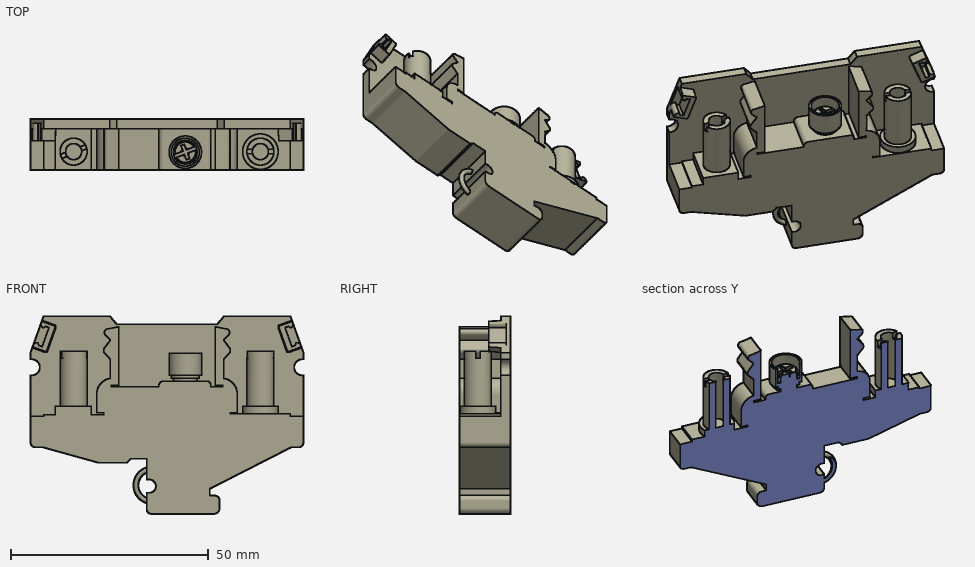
import cadquery as cq
import math

LENGTH = 69.0
DEPTH = 13.0
HEIGHT = 50.0
HALF_LENGTH = LENGTH / 2

WALL_THICKNESS = 2.5
WALL_FRONT = DEPTH - WALL_THICKNESS
WALL_DIP_Z = 47.95
DIP_FLOOR_HALF = 12.7
DIP_RIM_HALF = 14.4
SHOULDER_X = 31.2
SHOULDER_Z = 40.8
SLANT_ANGLE = math.degrees(math.atan2(HALF_LENGTH - SHOULDER_X, HEIGHT - SHOULDER_Z))
EDGE_NOTCH_DIAMETER = 4.0
EDGE_NOTCH_X = 34.15
EDGE_NOTCH_Z = 37.05

SHELF_Z = 16.85
SHELF_INNER_X = 31.4
SHELF_RADIUS = 1.25
BELLY_Z = 12.9
BELLY_LEFT_X = -17.25
BELLY_RIGHT_X = -10.15
RAIL_SEAT_Z = 13.95
RAIL_SEAT_LEFT_X = -9.2
FOOT_LEFT_X = -5.2
FOOT_RIGHT_X = 13.3
FOOT_LEFT_RADIUS = 1.25
FOOT_RIGHT_RADIUS = 1.5
HOOK_TOP_Z = 4.7
HOOK_THROAT_X = 10.8
HOOK_THROAT_Z = 6.35
HOOK_RADIUS = 1.3
FOOT_NOTCH_DIAMETER = 3.3
FOOT_NOTCH_X = -4.5
FOOT_NOTCH_Z = 7.05

END_LEDGE_Z = 24.7
END_LEDGE_INNER_X = 31.2
LEFT_DECK_Z = 25.1
RIGHT_DECK_Z = 25.3
LEFT_PEDESTAL_Z = 27.2
LEFT_PEDESTAL_OUTER_X = -28.3
LEFT_PEDESTAL_INNER_X = -19.1
BRIDGE_HALF_WIDTH = 15.95
BRIDGE_Z = 32.15
BRIDGE_RADIUS = 1.85
PLATFORM_LEFT_X = -2.1
PLATFORM_RIGHT_X = 11.05
PLATFORM_Z = 33.6
PLATFORM_LEFT_RADIUS = 1.25
PLATFORM_RIGHT_RADIUS = 1.05

CLIP_TOP_Z = 47.3
CLIP_INNER_X = 12.2
CLIP_STRIP_X = 14.3
CLIP_LEG_OUTER_X = 17.7
CLIP_FOOT_Z = 25.5
CLIP_HEEL_Z = 32.5
CLIP_HEEL_OUTER_X = 14.15
CLIP_BEND_CENTRE_Z = 30.35
CLIP_BEND_RADIUS = 3.9
UPPER_TOOTH_START = (14.8, 46.8)
UPPER_TOOTH_TIP = (15.8, 45.95)
UPPER_TOOTH_END = (15.4, 45.05)
TOOTH_GAP_Z = 43.95
LOWER_TOOTH_START = (15.8, 41.95)
LOWER_TOOTH_TIP = (16.0, 41.3)
LOWER_TOOTH_END = (15.8, 40.7)
STRIP_TOP_Z = 39.05

LATCH_FRONT = 7.4
LATCH_CENTRE = 5.0
LATCH_HALF_HEIGHT = 3.65
LATCH_REACH = 3.9
LATCH_RADIUS = 0.55
LATCH_DRAFT = 4.0
POCKET_BACK = 11.9
POCKET_REACH = 2.3
POCKET_HALF_HEIGHT = 2.55
POCKET_MOUTH_HALF = 2.8
LIP_HALF = 2.0
LIP_TIP_REACH = 1.0
LIP_END_REACH = 1.4

POST_X = 23.6
POST_Y = 4.7
POST_DIAMETER = 6.8
POST_TOP_Z = 41.1
POST_BORE_DIAMETER = 4.1
POST_SLOT_WIDTH = 1.1
POST_SLOT_DEPTH = 1.7
LEFT_SLOT_ANGLE = 21.0
FLANGE_DIAMETER = 9.0

SCREW_X = 4.6
SCREW_Y = 4.55
COLLAR_DIAMETER = 8.2
COLLAR_BOTTOM_Z = 35.05
COLLAR_TOP_Z = 40.65
THREAD_DIAMETER = 7.1
THREAD_BOTTOM_Z = 34.3
THREAD_TOP_Z = 36.2
HEAD_DIAMETER = 6.0
HEAD_TOP_Z = 38.4
HEAD_CHAMFER = 0.4
DRIVE_ANGLE = 21.0
DRIVE_SLOT_WIDTH = 0.9
CROSS_SLOT_LENGTH = 3.85
DRIVE_DEPTH = 1.0
DRIVE_CONE_DIAMETER = 2.1

WIRE_DIAMETER = 1.3
LOOP_RADIUS = 4.15
LOOP_X = -3.7
LOOP_Y = 6.2
LOOP_Z = 7.25
LOOP_TILT = 7.0


def front_plane(y):
    return cq.Workplane("XZ", origin=(0, y, 0))


def cylinder(x, y, bottom, top, diameter):
    return cq.Workplane("XY", origin=(x, y, bottom)).circle(diameter / 2).extrude(top - bottom)


def notch(x, z, diameter):
    """Round notch along Y, open towards the outer side of the edge it is cut into."""
    radius = diameter / 2
    outward = math.copysign(diameter, x)
    bore = front_plane(DEPTH).center(x, z).circle(radius).extrude(DEPTH)
    mouth = front_plane(DEPTH).center(x + outward / 2, z).rect(diameter, diameter).extrude(DEPTH)
    return bore.union(mouth)


def back_wall():
    outline = [
        (-HALF_LENGTH, END_LEDGE_Z),
        (-HALF_LENGTH, SHOULDER_Z),
        (-SHOULDER_X, HEIGHT),
        (-DIP_RIM_HALF, HEIGHT),
        (-DIP_FLOOR_HALF, WALL_DIP_Z),
        (DIP_FLOOR_HALF, WALL_DIP_Z),
        (DIP_RIM_HALF, HEIGHT),
        (SHOULDER_X, HEIGHT),
        (HALF_LENGTH, SHOULDER_Z),
        (HALF_LENGTH, END_LEDGE_Z),
    ]
    wall = front_plane(DEPTH).polyline(outline).close().extrude(WALL_THICKNESS)
    for side in (-1, 1):
        wall = wall.cut(notch(side * EDGE_NOTCH_X, EDGE_NOTCH_Z, EDGE_NOTCH_DIAMETER))
    return wall


def round_edge(body, x, z, radius):
    """Round the edge parallel to Y that passes through (x, z)."""
    return body.edges(cq.selectors.NearestToPointSelector((x, DEPTH / 2, z))).fillet(radius)


def housing():
    outline = [
        (-HALF_LENGTH, SHELF_Z),
        (-HALF_LENGTH, END_LEDGE_Z),
        (-END_LEDGE_INNER_X, END_LEDGE_Z),
        (-END_LEDGE_INNER_X, LEFT_DECK_Z),
        (LEFT_PEDESTAL_OUTER_X, LEFT_DECK_Z),
        (LEFT_PEDESTAL_OUTER_X, LEFT_PEDESTAL_Z),
        (LEFT_PEDESTAL_INNER_X, LEFT_PEDESTAL_Z),
        (LEFT_PEDESTAL_INNER_X, LEFT_DECK_Z),
        (-BRIDGE_HALF_WIDTH, LEFT_DECK_Z),
        (-BRIDGE_HALF_WIDTH, BRIDGE_Z),
        (PLATFORM_LEFT_X, BRIDGE_Z),
        (PLATFORM_LEFT_X, PLATFORM_Z),
        (PLATFORM_RIGHT_X, PLATFORM_Z),
        (PLATFORM_RIGHT_X, BRIDGE_Z),
        (BRIDGE_HALF_WIDTH, BRIDGE_Z),
        (BRIDGE_HALF_WIDTH, RIGHT_DECK_Z),
        (END_LEDGE_INNER_X, RIGHT_DECK_Z),
        (END_LEDGE_INNER_X, END_LEDGE_Z),
        (HALF_LENGTH, END_LEDGE_Z),
        (HALF_LENGTH, SHELF_Z),
        (SHELF_INNER_X, SHELF_Z),
        (HOOK_THROAT_X, HOOK_THROAT_Z),
        (HOOK_THROAT_X, HOOK_TOP_Z),
        (FOOT_RIGHT_X, HOOK_TOP_Z),
        (FOOT_RIGHT_X, 0),
        (FOOT_LEFT_X, 0),
        (FOOT_LEFT_X, RAIL_SEAT_Z),
        (RAIL_SEAT_LEFT_X, RAIL_SEAT_Z),
        (BELLY_RIGHT_X, BELLY_Z),
        (BELLY_LEFT_X, BELLY_Z),
        (-SHELF_INNER_X, SHELF_Z),
    ]
    body = front_plane(DEPTH).polyline(outline).close().extrude(DEPTH)
    for side in (-1, 1):
        body = round_edge(body, side * HALF_LENGTH, SHELF_Z, SHELF_RADIUS)
        body = round_edge(body, side * BRIDGE_HALF_WIDTH, BRIDGE_Z, BRIDGE_RADIUS)
    body = round_edge(body, PLATFORM_LEFT_X, PLATFORM_Z, PLATFORM_LEFT_RADIUS)
    body = round_edge(body, PLATFORM_RIGHT_X, PLATFORM_Z, PLATFORM_RIGHT_RADIUS)
    body = round_edge(body, FOOT_LEFT_X, 0, FOOT_LEFT_RADIUS)
    body = round_edge(body, FOOT_RIGHT_X, 0, FOOT_RIGHT_RADIUS)
    body = round_edge(body, FOOT_RIGHT_X, HOOK_TOP_Z, HOOK_RADIUS)
    return body.cut(notch(FOOT_NOTCH_X, FOOT_NOTCH_Z, FOOT_NOTCH_DIAMETER))


def right_clip():
    """Toothed strip whose leg bends over the bridge shoulder; teeth point to +X."""
    shoulder_z = BRIDGE_Z - BRIDGE_RADIUS
    bend_middle = CLIP_BEND_RADIUS * math.sqrt(0.5)
    bend_centre_x = CLIP_LEG_OUTER_X - CLIP_BEND_RADIUS
    bend_rise = math.sqrt(CLIP_BEND_RADIUS**2 - (CLIP_STRIP_X - bend_centre_x) ** 2)
    return (
        front_plane(WALL_FRONT)
        .moveTo(CLIP_INNER_X, CLIP_TOP_Z)
        .lineTo(*UPPER_TOOTH_START)
        .threePointArc(UPPER_TOOTH_TIP, UPPER_TOOTH_END)
        .lineTo(CLIP_STRIP_X, TOOTH_GAP_Z)
        .lineTo(*LOWER_TOOTH_START)
        .threePointArc(LOWER_TOOTH_TIP, LOWER_TOOTH_END)
        .lineTo(CLIP_STRIP_X, STRIP_TOP_Z)
        .lineTo(CLIP_STRIP_X, CLIP_BEND_CENTRE_Z + bend_rise)
        .threePointArc(
            (bend_centre_x + bend_middle, CLIP_BEND_CENTRE_Z + bend_middle),
            (CLIP_LEG_OUTER_X, CLIP_BEND_CENTRE_Z),
        )
        .lineTo(CLIP_LEG_OUTER_X, CLIP_FOOT_Z)
        .lineTo(BRIDGE_HALF_WIDTH, CLIP_FOOT_Z)
        .lineTo(BRIDGE_HALF_WIDTH, shoulder_z)
        .lineTo(CLIP_HEEL_OUTER_X, shoulder_z)
        .lineTo(CLIP_HEEL_OUTER_X, CLIP_HEEL_Z)
        .lineTo(CLIP_INNER_X, CLIP_HEEL_Z)
        .close()
        .extrude(WALL_FRONT)
    )


def left_end_plane(y):
    """Plane at depth y: local x runs inward from the slanted left end, local y up along it."""
    slant = math.radians(SLANT_ANGLE)
    return cq.Workplane(
        cq.Plane(
            origin=(-HALF_LENGTH, y, SHOULDER_Z),
            xDir=(math.cos(slant), 0, -math.sin(slant)),
            normal=(0, -1, 0),
        )
    )


def left_latch_frame():
    depth = WALL_FRONT - LATCH_FRONT
    outline = cq.Sketch().rect(2 * LATCH_REACH, 2 * LATCH_HALF_HEIGHT).vertices().fillet(LATCH_RADIUS)
    centre = left_end_plane(WALL_FRONT).center(0, LATCH_CENTRE)
    block = centre.placeSketch(outline).extrude(depth, taper=LATCH_DRAFT)
    inner_half = (
        left_end_plane(WALL_FRONT)
        .center(LATCH_REACH / 2, LATCH_CENTRE)
        .rect(LATCH_REACH, 2 * LATCH_HALF_HEIGHT)
        .extrude(depth)
    )
    return block.intersect(inner_half)


def left_latch_pocket():
    """Pocket open to the left end and to the front, with a rounded lip at each side of its mouth."""
    lip_middle_x = LIP_TIP_REACH / 3
    lip_middle_y = (POCKET_MOUTH_HALF + 2 * LIP_HALF) / 3
    return (
        left_end_plane(POCKET_BACK)
        .center(0, LATCH_CENTRE)
        .moveTo(0, POCKET_MOUTH_HALF)
        .threePointArc((lip_middle_x, lip_middle_y), (LIP_TIP_REACH, LIP_HALF))
        .lineTo(LIP_END_REACH, POCKET_HALF_HEIGHT)
        .lineTo(POCKET_REACH, POCKET_HALF_HEIGHT)
        .lineTo(POCKET_REACH, -POCKET_HALF_HEIGHT)
        .lineTo(LIP_END_REACH, -POCKET_HALF_HEIGHT)
        .lineTo(LIP_TIP_REACH, -LIP_HALF)
        .threePointArc((lip_middle_x, -lip_middle_y), (0, -POCKET_MOUTH_HALF))
        .close()
        .extrude(POCKET_BACK - LATCH_FRONT)
    )


def slot(x, y, top, length, width, depth, angle):
    """Straight screwdriver slot centred on (x, y) and sunk from the given top height."""
    return (
        cq.Workplane("XY", origin=(x, y, top - depth))
        .transformed(rotate=(0, 0, angle))
        .rect(length, width)
        .extrude(depth)
    )


def post(x, bottom, slot_angle):
    body = cylinder(x, POST_Y, bottom, POST_TOP_Z, POST_DIAMETER)
    body = body.cut(cylinder(x, POST_Y, bottom, POST_TOP_Z, POST_BORE_DIAMETER))
    return body.cut(
        slot(x, POST_Y, POST_TOP_Z, 2 * POST_DIAMETER, POST_SLOT_WIDTH, POST_SLOT_DEPTH, slot_angle)
    )


def centre_screw():
    head = cylinder(SCREW_X, SCREW_Y, PLATFORM_Z, HEAD_TOP_Z, HEAD_DIAMETER)
    head = head.faces(">Z").chamfer(HEAD_CHAMFER)
    for length, angle in ((HEAD_DIAMETER, DRIVE_ANGLE), (CROSS_SLOT_LENGTH, DRIVE_ANGLE + 90)):
        head = head.cut(slot(SCREW_X, SCREW_Y, HEAD_TOP_Z, length, DRIVE_SLOT_WIDTH, DRIVE_DEPTH, angle))
    cone = cq.Solid.makeCone(
        0,
        DRIVE_CONE_DIAMETER / 2,
        DRIVE_DEPTH,
        pnt=cq.Vector(SCREW_X, SCREW_Y, HEAD_TOP_Z - DRIVE_DEPTH),
    )
    head = head.cut(cq.Workplane(cone))
    thread = cylinder(SCREW_X, SCREW_Y, THREAD_BOTTOM_Z, THREAD_TOP_Z, THREAD_DIAMETER)
    collar = cylinder(SCREW_X, SCREW_Y, COLLAR_BOTTOM_Z, COLLAR_TOP_Z, COLLAR_DIAMETER)
    collar = collar.cut(cylinder(SCREW_X, SCREW_Y, COLLAR_BOTTOM_Z, COLLAR_TOP_Z, THREAD_DIAMETER))
    return collar.union(thread).union(head)


def wire_loop():
    """Part of a tilted wire ring that protrudes to the left of the foot."""
    ring = cq.Solid.makeTorus(
        LOOP_RADIUS,
        WIRE_DIAMETER / 2,
        cq.Vector(LOOP_X, LOOP_Y, LOOP_Z),
        cq.Vector(0, math.cos(math.radians(LOOP_TILT)), math.sin(math.radians(LOOP_TILT))),
    )
    foot_region = front_plane(DEPTH).rect(-2 * FOOT_LEFT_X, 2 * HEIGHT).extrude(DEPTH)
    return cq.Workplane(ring).cut(foot_region)


result = back_wall().union(housing())

clip = right_clip()
latch = left_latch_frame()
pocket = left_latch_pocket()
result = result.union(clip).union(clip.mirror("YZ"))
result = result.union(latch).union(latch.mirror("YZ"))
result = result.cut(pocket).cut(pocket.mirror("YZ"))

flange = cylinder(POST_X, POST_Y, RIGHT_DECK_Z, LEFT_PEDESTAL_Z, FLANGE_DIAMETER)
result = result.union(flange)
result = result.union(post(-POST_X, LEFT_PEDESTAL_Z, LEFT_SLOT_ANGLE))
result = result.union(post(POST_X, LEFT_PEDESTAL_Z, 0))

result = result.union(centre_screw())
result = result.union(wire_loop())